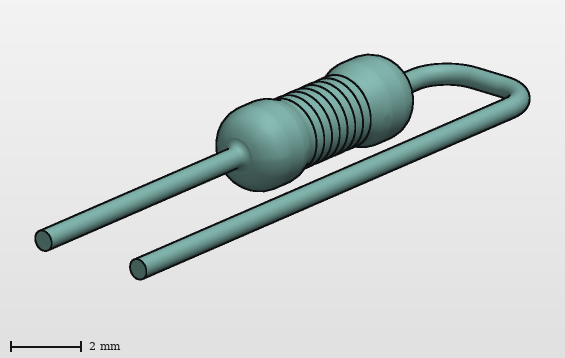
import cadquery as cq

overall_length = 17.9
overall_width = 5.05

lead_radius = 0.6 / 2
bend_radius = 1.18
bend_top = 5.9

cap_radius = 2.5 / 2
waist_radius = 2.13 / 2
waist_half = 1.2
cap_start = 1.95
cap_end = 2.55
dome_end = 3.4
collar_fillet = 0.23

band_radius = 2.15 / 2
band_count = 4
band_width = 2 * waist_half / (2 * band_count - 1)

lead_spacing = overall_width - cap_radius - lead_radius
lead_end_y = bend_top - overall_length
fold_y = bend_top - lead_radius
bend_start_y = fold_y - bend_radius


def make_body_end():
    """Body end on the +Y side: flared shoulder, cap, dome and lead collar."""
    shoulder_mid = ((waist_radius + cap_radius) / 2, (waist_half + cap_start) / 2)
    step = shoulder_mid[0] - waist_radius
    rise = shoulder_mid[1] - waist_half
    shoulder_radius = (step**2 + rise**2) / (2 * step)
    collar_radius = lead_radius + collar_fillet
    collar_end = dome_end + collar_fillet
    profile = (
        cq.Workplane("XY")
        .moveTo(0, waist_half)
        .lineTo(waist_radius, waist_half)
        .radiusArc(shoulder_mid, shoulder_radius)
        .tangentArcPoint((cap_radius, cap_start), relative=False)
        .lineTo(cap_radius, cap_end)
        .tangentArcPoint((collar_radius, dome_end), relative=False)
        .radiusArc((lead_radius, collar_end), collar_fillet)
        .lineTo(0, collar_end)
        .close()
    )
    return profile.revolve(360, (0, 0, 0), (0, 1, 0))


def make_disc(radius, start_y, length):
    """Round disc on the Y axis, reaching from start_y toward +Y."""
    return cq.Workplane("XZ", origin=(0, start_y, 0)).circle(radius).extrude(-length)


def make_lead():
    """Round wire through the body, folded back parallel to itself on the +X side."""
    path = (
        cq.Workplane("XY")
        .moveTo(0, lead_end_y)
        .lineTo(0, bend_start_y)
        .tangentArcPoint((bend_radius, fold_y), relative=False)
        .lineTo(lead_spacing - bend_radius, fold_y)
        .tangentArcPoint((lead_spacing, bend_start_y), relative=False)
        .lineTo(lead_spacing, lead_end_y)
    )
    return cq.Workplane("XZ", origin=(0, lead_end_y, 0)).circle(lead_radius).sweep(path)


body_end = make_body_end()
waist = make_disc(waist_radius, -waist_half, 2 * waist_half)
result = waist.union(body_end).union(body_end.mirror("XZ"))
for index in range(band_count):
    band_start = -waist_half + 2 * index * band_width
    result = result.union(make_disc(band_radius, band_start, band_width))
result = result.union(make_lead())